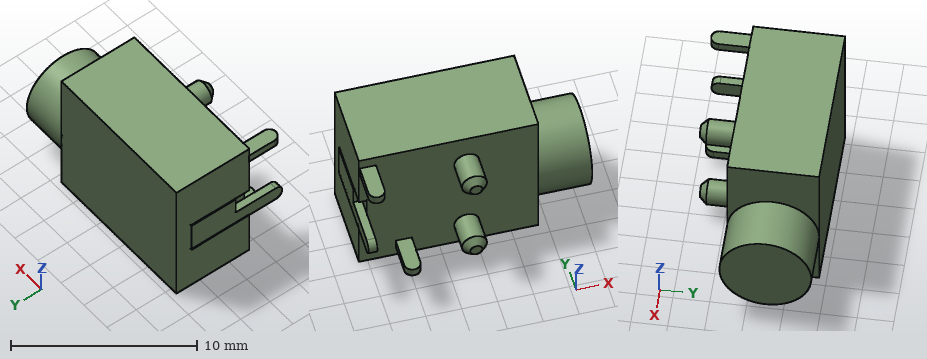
import cadquery as cq

housing_length = 10.0
housing_depth = 5.0
housing_height = 8.4
housing_top = housing_height / 2
housing_bottom = -housing_height / 2

barrel_length = 3.0
barrel_diameter = housing_depth
barrel_z = -0.8

peg_diameter = 1.4
peg_tip_diameter = 0.68
peg_length = 2.0
peg_taper_length = 0.39
peg_x = 6.0
peg_spacing = 5.0
upper_peg_z = housing_top - 2.0

leg_width = 0.9
leg_thickness = 0.5
leg_length = 2.2
leg_edge_gap = 0.64
upper_leg_x = 0.05
lower_leg_x = 2.05

terminal_proud = 0.05
terminal_height = 2.0
terminal_top = housing_top - 3.43
terminal_bottom = terminal_top - terminal_height
terminal_back_y = housing_depth - 1.0
terminal_shoulder_y = housing_depth - 4.02
slot_depth = leg_thickness - terminal_proud


def make_block():
    return cq.Workplane("XY").box(
        housing_length, housing_depth, housing_height, centered=(False, False, True)
    )


def make_barrel():
    return (
        cq.Workplane("YZ", origin=(housing_length, housing_depth / 2, barrel_z))
        .circle(barrel_diameter / 2)
        .extrude(barrel_length)
    )


def make_peg(z):
    """Peg pointing toward -Y with a tapered tip."""
    profile = (
        cq.Workplane("XY", origin=(peg_x, 0, z))
        .lineTo(peg_diameter / 2, 0)
        .lineTo(peg_diameter / 2, -(peg_length - peg_taper_length))
        .lineTo(peg_tip_diameter / 2, -peg_length)
        .lineTo(0, -peg_length)
        .close()
    )
    return profile.revolve(360, (0, 0, 0), (0, 1, 0))


def make_leg(left_x, bottom_z):
    """Flat leg standing out from the front face toward -Y."""
    straight_length = leg_length - leg_width / 2
    return (
        cq.Workplane("XY", origin=(left_x, 0, bottom_z))
        .lineTo(0, -straight_length)
        .threePointArc((leg_width / 2, -leg_length), (leg_width, -straight_length))
        .lineTo(leg_width, 0)
        .close()
        .extrude(leg_thickness)
    )


def make_slot():
    """Recess for the terminal, open at the left and front faces."""
    return (
        cq.Workplane("XY", origin=(0, 0, terminal_bottom))
        .rect(slot_depth, terminal_back_y, centered=False)
        .extrude(terminal_height)
    )


def make_housing():
    body = make_block().union(make_barrel())
    for z in (upper_peg_z, upper_peg_z - peg_spacing):
        body = body.union(make_peg(z))
    body = body.union(make_leg(upper_leg_x, housing_top - leg_edge_gap - leg_thickness))
    body = body.union(make_leg(lower_leg_x, housing_bottom + leg_edge_gap))
    return body.cut(make_slot())


def make_terminal():
    """Plate in the slot, narrowing to a leg along its lower edge."""
    leg_top = terminal_bottom + leg_width
    round_start_y = -(leg_length - leg_width / 2)
    return (
        cq.Workplane("YZ", origin=(-terminal_proud, 0, 0))
        .moveTo(terminal_back_y, terminal_bottom)
        .lineTo(terminal_back_y, terminal_top)
        .lineTo(terminal_shoulder_y, terminal_top)
        .lineTo(terminal_shoulder_y, leg_top)
        .lineTo(round_start_y, leg_top)
        .threePointArc(
            (-leg_length, terminal_bottom + leg_width / 2), (round_start_y, terminal_bottom)
        )
        .close()
        .extrude(leg_thickness)
    )


housing = make_housing()
terminal = make_terminal()

result = cq.Compound.makeCompound([housing.solids().val(), terminal.val()])